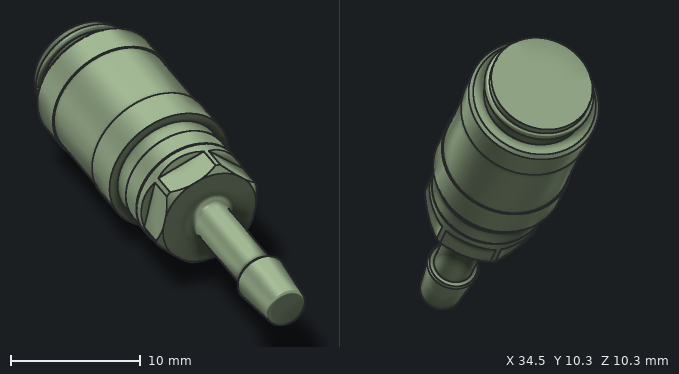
import cadquery as cq
import math

OVERALL_LENGTH = 34.55

SPIGOT_DIAMETER = 8.0
RING_OUTER_DIAMETER = 8.65
RING_WIRE_DIAMETER = 0.62
RING_CENTRE_X = 0.97
RING_GAP = 0.28

SLEEVE_FRONT_X = 2.52
SLEEVE_REAR_X = 14.8
SLEEVE_DIAMETER = 10.33
SLEEVE_CHAMFER_LENGTH = 0.25
SLEEVE_CHAMFER_DEPTH = 0.3
WAIST_FRONT_X = 5.32
WAIST_REAR_X = 11.9
WAIST_DIAMETER = 10.1

NECK_DIAMETER = 8.9
COLLAR_FRONT_X = 16.17
COLLAR_CHAMFER_LENGTH = 0.07
COLLAR_DIAMETER = 9.02
GROOVE_X = 17.95
GROOVE_WIDTH = 0.1
GROOVE_DIAMETER = 8.78

HEX_FLAT_FRONT_X = 19.07
HEX_REAR_X = 21.55
HEX_ACROSS_FLATS = 8.0
HEX_SIDES = 6
HEX_TURN = 13.0
HEX_RUN_OUT_ANGLE = 30.0
HEX_CHAMFER_LENGTH = 0.52
HEX_END_DIAMETER = 8.1

STEM_DIAMETER = 3.1
STEM_ROOT_FILLET = 0.7

BARB_FRONT_X = 30.0
BARB_DIAMETER = 4.08
BARB_CHAMFER_LENGTH = 0.2
BARB_CHAMFER_DEPTH = 0.15
BARB_TIP_DIAMETER = 3.25
TIP_FILLET = 0.3

RING_CENTRE_RADIUS = (RING_OUTER_DIAMETER - RING_WIRE_DIAMETER) / 2


def turned_blank():
    """Revolve the full outline of the coupling, before the flats and the ring seat."""
    sleeve_radius = SLEEVE_DIAMETER / 2
    waist_radius = WAIST_DIAMETER / 2
    collar_radius = COLLAR_DIAMETER / 2
    groove_radius = GROOVE_DIAMETER / 2
    stem_radius = STEM_DIAMETER / 2
    barb_radius = BARB_DIAMETER / 2
    fillet_end_x = HEX_REAR_X + STEM_ROOT_FILLET
    fillet_offset = STEM_ROOT_FILLET * (1 - math.sqrt(0.5))

    outline = (
        cq.Workplane("XZ")
        .moveTo(0, 0)
        .lineTo(0, SPIGOT_DIAMETER / 2)
        .lineTo(SLEEVE_FRONT_X, SPIGOT_DIAMETER / 2)
        .lineTo(SLEEVE_FRONT_X, sleeve_radius - SLEEVE_CHAMFER_DEPTH)
        .lineTo(SLEEVE_FRONT_X + SLEEVE_CHAMFER_LENGTH, sleeve_radius)
        .lineTo(WAIST_FRONT_X, sleeve_radius)
        .lineTo(WAIST_FRONT_X, waist_radius)
        .lineTo(WAIST_REAR_X, waist_radius)
        .lineTo(WAIST_REAR_X, sleeve_radius)
        .lineTo(SLEEVE_REAR_X, sleeve_radius)
        .lineTo(SLEEVE_REAR_X, NECK_DIAMETER / 2)
        .lineTo(COLLAR_FRONT_X, NECK_DIAMETER / 2)
        .lineTo(COLLAR_FRONT_X + COLLAR_CHAMFER_LENGTH, collar_radius)
        .lineTo(GROOVE_X, collar_radius)
        .lineTo(GROOVE_X, groove_radius)
        .lineTo(GROOVE_X + GROOVE_WIDTH, groove_radius)
        .lineTo(GROOVE_X + GROOVE_WIDTH, collar_radius)
        .lineTo(HEX_REAR_X - HEX_CHAMFER_LENGTH, collar_radius)
        .lineTo(HEX_REAR_X, HEX_END_DIAMETER / 2)
        .lineTo(HEX_REAR_X, stem_radius + STEM_ROOT_FILLET)
        .threePointArc(
            (HEX_REAR_X + fillet_offset, stem_radius + fillet_offset),
            (fillet_end_x, stem_radius),
        )
        .lineTo(BARB_FRONT_X, stem_radius)
        .lineTo(BARB_FRONT_X, barb_radius - BARB_CHAMFER_DEPTH)
        .lineTo(BARB_FRONT_X + BARB_CHAMFER_LENGTH, barb_radius)
        .lineTo(OVERALL_LENGTH, BARB_TIP_DIAMETER / 2)
        .lineTo(OVERALL_LENGTH, 0)
        .close()
    )
    blank = outline.revolve(360, (0, 0, 0), (1, 0, 0))
    return blank.faces(">X").edges().fillet(TIP_FILLET)


def flat_cutter(angle):
    """Block that removes one flat; its front wall slopes forward as it rises."""
    flat_height = HEX_ACROSS_FLATS / 2
    block_top = COLLAR_DIAMETER
    slope_run = (block_top - flat_height) * math.tan(math.radians(HEX_RUN_OUT_ANGLE))
    block = (
        cq.Workplane("XZ")
        .moveTo(HEX_FLAT_FRONT_X, flat_height)
        .lineTo(HEX_REAR_X, flat_height)
        .lineTo(HEX_REAR_X, block_top)
        .lineTo(HEX_FLAT_FRONT_X - slope_run, block_top)
        .close()
        .extrude(COLLAR_DIAMETER / 2, both=True)
    )
    return block.rotate((0, 0, 0), (1, 0, 0), angle)


def ring_torus():
    """Full round-wire ring, before it is split."""
    return (
        cq.Workplane("XZ")
        .center(RING_CENTRE_X, RING_CENTRE_RADIUS)
        .circle(RING_WIRE_DIAMETER / 2)
        .revolve(360, (0, -RING_CENTRE_RADIUS, 0), (1, -RING_CENTRE_RADIUS, 0))
    )


def ring_seat():
    """Square-sided groove; the ring touches its floor and both walls."""
    floor_diameter = RING_OUTER_DIAMETER - 2 * RING_WIRE_DIAMETER
    return (
        cq.Workplane("YZ", origin=(RING_CENTRE_X - RING_WIRE_DIAMETER / 2, 0, 0))
        .circle(RING_OUTER_DIAMETER / 2)
        .circle(floor_diameter / 2)
        .extrude(RING_WIRE_DIAMETER)
    )


def coupling_body():
    body = turned_blank()
    first_angle = 90.0 - HEX_TURN
    for side in range(HEX_SIDES):
        body = body.cut(flat_cutter(first_angle + side * 360.0 / HEX_SIDES))
    return body.cut(ring_seat())


def snap_ring():
    """Ring split by a narrow gap on the -Y side."""
    gap = cq.Workplane("XY").box(2 * RING_WIRE_DIAMETER, 2 * RING_WIRE_DIAMETER, RING_GAP)
    quarter_turned = ring_torus().rotate((0, 0, 0), (1, 0, 0), 90)
    return quarter_turned.cut(gap.translate((RING_CENTRE_X, -RING_CENTRE_RADIUS, 0)))


coupling = coupling_body()
ring = snap_ring()

result = cq.Compound.makeCompound([coupling.val(), ring.val()])